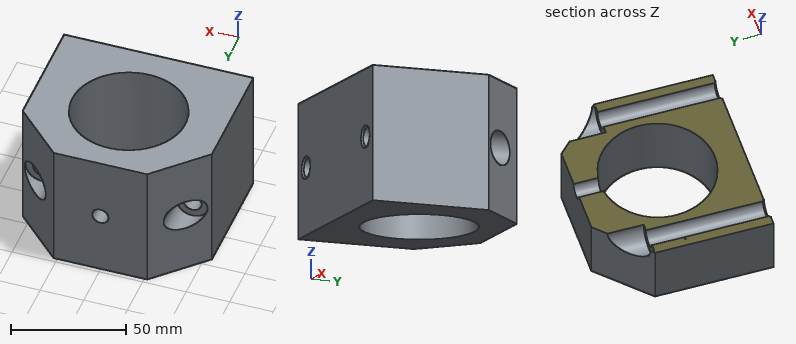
import cadquery as cq

width = 87.0
depth = 76.0
height = 60.0
corner_cut = 22.0

bore_diameter = 51.9
bore_to_back = 37.0

bolt_diameter = 8.4
bolt_to_side = 9.0
countersink_diameter = 10.0
head_diameter = 15.0
head_seat_to_back = corner_cut

screw_diameter = 7.5

front_y = -depth / 2
back_y = depth / 2
bolt_x = width / 2 - bolt_to_side


def cylinder_along_y(x, start_y, length, diameter):
    """Cylinder at mid-height, running toward +Y from start_y."""
    return cq.Workplane(
        cq.Solid.makeCylinder(
            diameter / 2, length, cq.Vector(x, start_y, 0), cq.Vector(0, 1, 0)
        )
    )


def bolt_hole(x):
    """Through hole with a 45 degree front countersink and a deep head recess at the back."""
    shank = cylinder_along_y(x, front_y, depth, bolt_diameter)
    recess = cylinder_along_y(x, back_y - head_seat_to_back, head_seat_to_back, head_diameter)
    countersink = cq.Workplane(
        cq.Solid.makeCone(
            countersink_diameter / 2,
            bolt_diameter / 2,
            (countersink_diameter - bolt_diameter) / 2,
            cq.Vector(x, front_y, 0),
            cq.Vector(0, 1, 0),
        )
    )
    return shank.union(recess).union(countersink)


body = cq.Workplane("XY").box(width, depth, height)
body = body.edges("|Z and >Y").chamfer(corner_cut)

bore = (
    cq.Workplane("XY")
    .center(0, back_y - bore_to_back)
    .circle(bore_diameter / 2)
    .extrude(height / 2, both=True)
)
body = body.cut(bore)

for side in (-1, 1):
    body = body.cut(bolt_hole(side * bolt_x))

body = body.cut(cylinder_along_y(0, back_y - bore_to_back, bore_to_back, screw_diameter))

result = body